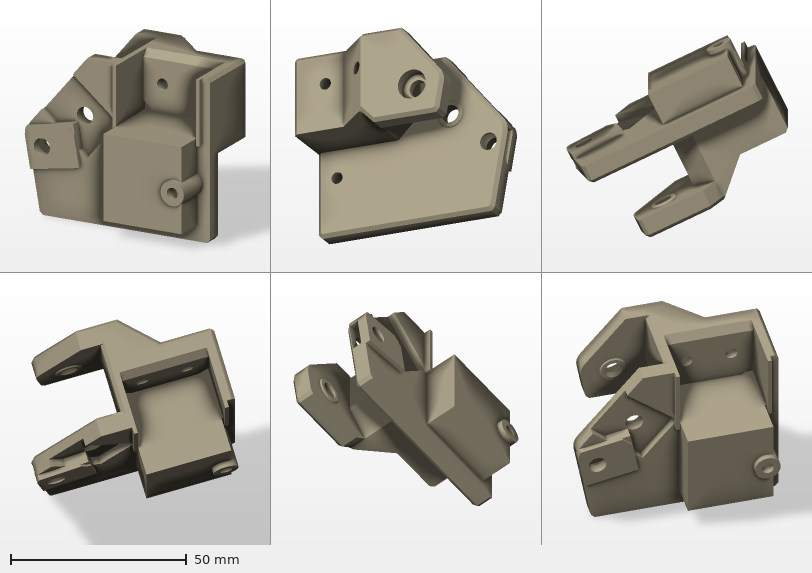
import cadquery as cq
import math


WIDTH = 59.15
HEIGHT = 49.25
BACK_Y = 32.05
FRONT_PLATE = 5.75
BACK_PLATE = 6.05
BEVEL = 1.05
SLOPE_ANGLE = 50.0
LEAN_ANGLE = 10.0

FRONT_NOSE_RADIUS = 5.6
FRONT_NOSE_X = FRONT_NOSE_RADIUS
FRONT_NOSE_Z = 24.2
BACK_NOSE_RADIUS = 5.2
BACK_NOSE_X = 13.0
BACK_NOSE_Z = 31.6

BLOCK_LEFT = 26.9
BLOCK_BACK_Y = 22.05
BLOCK_BOTTOM = 25.8
BLOCK_SLOPE_X = 43.5
RAMP_TOP = 32.65
RAMP_END_X = BLOCK_LEFT + RAMP_TOP - BLOCK_BOTTOM
BACK_PLATE_BOTTOM = 21.8

POCKET_LEFT = 29.7
POCKET_RIGHT = 55.6
POCKET_FLOOR = 31.15
POCKET_DEPTH = 14.5
POCKET_BEVEL = 2.1
POCKET_CORNER = 3.2
POCKET_CORNER_DEPTH = 0.9
LIP_WIDTH = 1.1
LIP_LENGTH = 1.95
LIP_BOTTOM = 29.3
MOUNT_HOLE = 3.5
MOUNT_HOLE_Z = 39.8
MOUNT_HOLE_SPACING = 13.3

BOX_LEFT = 29.9
BOX_RIGHT = 55.1
BOX_BOTTOM = 5.0
BOX_LENGTH = 9.75
BOSS_DIAMETER = 7.5
BOSS_LENGTH = 11.5
BOSS_X = 53.05
BOSS_Z = 17.4

HINGE_HOLE = 5.2
COUNTERBORE = 8.75
COUNTERBORE_DEPTH = 4.15
HINGE_X = 17.4
HINGE_Z = 31.1
RING_BASE = 8.2
RING_TIP = 7.5
RING_HEIGHT = 0.4

SEAT_TILT = SLOPE_ANGLE - 90
SEAT_HALF_WIDTH = 7.9
SEAT_INNER = 9.05
SEAT_OUTER = 14.8
SEAT_DEPTH = 2.3

TAB_HOLE_X = 5.55
TAB_HOLE_Z = 20.95
TAB_HALF_WIDTH = 6.45
TAB_INNER = 11.05
TAB_OUTER = 8.9
TAB_THICKNESS = 1.6
TAB_STEP = 0.6
TAB_STEP_OFFSET = 4.75
SLOT_HALF_WIDTH = 4.75
SLOT_INNER = 10.5
SLOT_MOUTH = 0.6
SLOT_FRONT_Y = 1.4
SLOT_THICKNESS = 3.1

OVERCUT = 2.95


def prism(profile, y_front, y_back):
    """Extrude a closed XZ profile between two Y positions."""
    return profile.extrude(y_front - y_back).translate((0, y_front, 0))


def profile_start():
    return cq.Workplane("XZ")


def box_between(x0, x1, y0, y1, z0, z1):
    return cq.Workplane("XY").box(x1 - x0, y1 - y0, z1 - z0, centered=False).translate((x0, y0, z0))


def rod(x, z, diameter, y_front, y_back):
    return prism(profile_start().center(x, z).circle(diameter / 2), y_front, y_back)


def tilted_prism(points, tilt, x, z, y_front, y_back):
    """Prism from points given along and across a direction tilted about (x, z)."""
    solid = prism(profile_start().polyline(points).close(), y_front, y_back)
    return solid.rotate((0, 0, 0), (0, -1, 0), tilt).translate((x, 0, z))


def tilted_rectangle(u0, u1, v0, v1, tilt, x, z, y_front, y_back):
    points = [(u0, v0), (u1, v0), (u1, v1), (u0, v1)]
    return tilted_prism(points, tilt, x, z, y_front, y_back)


def plate_profile(nose_x, nose_z, radius, bottom, lower_right):
    """Plate outline with a rounded left tip; lower_right lists its points from bottom to right edge."""
    slope = math.radians(SLOPE_ANGLE)
    lean = math.radians(LEAN_ANGLE)

    def on_nose(angle):
        return nose_x - radius * math.cos(angle), nose_z + radius * math.sin(angle)

    nose_top = on_nose(math.pi / 2 - slope)
    nose_bottom = on_nose(-lean)
    top_left = nose_top[0] + (HEIGHT - nose_top[1]) / math.tan(slope)

    def left_edge_x(z):
        return nose_bottom[0] + (nose_bottom[1] - z) * math.tan(lean)

    corner_x = left_edge_x(bottom + BEVEL)
    return (
        profile_start()
        .moveTo(*nose_bottom)
        .threePointArc(on_nose(0), nose_top)
        .lineTo(top_left, HEIGHT)
        .lineTo(WIDTH - BEVEL, HEIGHT)
        .lineTo(WIDTH, HEIGHT - BEVEL)
        .polyline(lower_right[::-1], includeCurrent=True)
        .lineTo(corner_x + BEVEL, bottom)
        .lineTo(corner_x, bottom + BEVEL)
        .close()
    )


def front_profile():
    lower_right = [(WIDTH - BEVEL, 0), (WIDTH, BEVEL)]
    return plate_profile(FRONT_NOSE_X, FRONT_NOSE_Z, FRONT_NOSE_RADIUS, 0, lower_right)


def front_plate():
    return prism(front_profile(), 0, FRONT_PLATE).faces(">Y").chamfer(BEVEL)


def back_plate_and_block():
    foot_end = RAMP_END_X - (BLOCK_BOTTOM - BACK_PLATE_BOTTOM)
    lower_right = [(foot_end, BACK_PLATE_BOTTOM), (RAMP_END_X, BLOCK_BOTTOM), (WIDTH, BLOCK_BOTTOM)]
    profile = plate_profile(BACK_NOSE_X, BACK_NOSE_Z, BACK_NOSE_RADIUS, BACK_PLATE_BOTTOM, lower_right)
    solid = prism(profile, 0, BACK_Y).faces(">Y").chamfer(BEVEL)

    slant = BACK_Y - BLOCK_BACK_Y
    plan = (
        cq.Workplane("XY")
        .polyline([
            (0, -OVERCUT),
            (0, BACK_Y),
            (BLOCK_SLOPE_X - slant, BACK_Y),
            (BLOCK_SLOPE_X, BLOCK_BACK_Y),
            (WIDTH, BLOCK_BACK_Y),
            (WIDTH, -OVERCUT),
        ])
        .close()
        .extrude(HEIGHT)
    )
    solid = solid.intersect(plan.faces(">Z").chamfer(BEVEL))

    corner = (
        cq.Workplane("XY")
        .polyline([(WIDTH - BEVEL, BLOCK_BACK_Y), (WIDTH, BLOCK_BACK_Y - BEVEL), (WIDTH, BLOCK_BACK_Y)])
        .close()
        .extrude(HEIGHT)
    )
    solid = solid.cut(corner)

    gap = profile_start().polyline([
        (-OVERCUT, HEIGHT + OVERCUT),
        (BLOCK_LEFT + BEVEL + OVERCUT, HEIGHT + OVERCUT),
        (BLOCK_LEFT, HEIGHT - BEVEL),
        (BLOCK_LEFT, RAMP_TOP),
        (RAMP_END_X + OVERCUT, BLOCK_BOTTOM - OVERCUT),
        (RAMP_END_X + OVERCUT, 0),
        (-OVERCUT, 0),
    ]).close()
    return solid.cut(prism(gap, -OVERCUT, BACK_Y - BACK_PLATE))


def hinge_rings(body):
    cone = cq.Workplane("XZ").circle(RING_BASE / 2).workplane(offset=RING_HEIGHT).circle(RING_TIP / 2).loft()
    back_ring = cone.translate((HINGE_X, BACK_Y - BACK_PLATE, HINGE_Z))
    front_ring = cone.mirror("XZ").translate((HINGE_X, FRONT_PLATE, HINGE_Z))
    return body.union(back_ring).union(front_ring)


def box_and_boss(body):
    body = body.union(box_between(BOX_LEFT, BOX_RIGHT, -BOX_LENGTH, 0, BOX_BOTTOM, POCKET_FLOOR))
    return body.union(rod(BOSS_X, BOSS_Z, BOSS_DIAMETER, -BOSS_LENGTH, 0))


def pocket_and_lips(body):
    for lip_left in (POCKET_LEFT - LIP_WIDTH, POCKET_RIGHT):
        lip_right = lip_left + LIP_WIDTH
        body = body.union(box_between(lip_left, lip_right, -LIP_LENGTH, SEAT_DEPTH, LIP_BOTTOM, HEIGHT))

    side = (
        cq.Workplane("YZ")
        .polyline([
            (0, POCKET_FLOOR),
            (POCKET_DEPTH, POCKET_FLOOR),
            (POCKET_DEPTH, HEIGHT - POCKET_BEVEL),
            (POCKET_DEPTH + POCKET_BEVEL, HEIGHT),
            (0, HEIGHT),
        ])
        .close()
        .extrude(POCKET_RIGHT - POCKET_LEFT)
        .translate((POCKET_LEFT, 0, 0))
    )
    body = body.cut(side)

    for corner_x, inward in ((POCKET_LEFT, 1), (POCKET_RIGHT, -1)):
        corner = profile_start().polyline([
            (corner_x, POCKET_FLOOR),
            (corner_x + inward * POCKET_CORNER, POCKET_FLOOR),
            (corner_x, POCKET_FLOOR + POCKET_CORNER),
        ]).close()
        body = body.cut(prism(corner, POCKET_DEPTH, POCKET_DEPTH + POCKET_CORNER_DEPTH))
    return body


def hinge_seat(body):
    seat = tilted_rectangle(
        -SEAT_OUTER, SEAT_INNER, -SEAT_HALF_WIDTH, SEAT_HALF_WIDTH,
        SEAT_TILT, HINGE_X, HINGE_Z, 0, SEAT_DEPTH,
    )
    return body.cut(seat)


def tab(body):
    blank = tilted_rectangle(
        -TAB_OUTER, TAB_INNER, -TAB_HALF_WIDTH, TAB_HALF_WIDTH,
        LEAN_ANGLE, TAB_HOLE_X, TAB_HOLE_Z, -TAB_THICKNESS, SEAT_DEPTH,
    )
    blank = blank.intersect(prism(front_profile(), -TAB_THICKNESS, SEAT_DEPTH))
    step = tilted_rectangle(
        -SEAT_INNER, SEAT_INNER, -TAB_STEP_OFFSET, SEAT_HALF_WIDTH,
        SEAT_TILT, HINGE_X, HINGE_Z, -TAB_THICKNESS, TAB_STEP - TAB_THICKNESS,
    )
    return body.union(blank.cut(step))


def tab_slot(body):
    """Slot from the left edge, square to it, with a flared mouth."""
    lean = math.radians(LEAN_ANGLE)
    nose_offset = (FRONT_NOSE_X - TAB_HOLE_X) * math.cos(lean) + (FRONT_NOSE_Z - TAB_HOLE_Z) * math.sin(lean)
    edge = nose_offset - FRONT_NOSE_RADIUS
    outside = edge - OVERCUT
    half_mouth = SLOT_HALF_WIDTH + SLOT_MOUTH
    upper = [
        (outside, half_mouth),
        (edge, half_mouth),
        (edge + SLOT_MOUTH, SLOT_HALF_WIDTH),
        (SLOT_INNER, SLOT_HALF_WIDTH),
    ]
    lower = [(u, -v) for u, v in reversed(upper)]
    slot = tilted_prism(
        upper + lower, LEAN_ANGLE, TAB_HOLE_X, TAB_HOLE_Z, SLOT_FRONT_Y, SLOT_FRONT_Y + SLOT_THICKNESS
    )
    return body.cut(slot)


def through_holes(body):
    box_middle = (BOX_LEFT + BOX_RIGHT) / 2
    holes = [
        (HINGE_X, HINGE_Z, HINGE_HOLE),
        (TAB_HOLE_X, TAB_HOLE_Z, HINGE_HOLE),
        (BOSS_X, BOSS_Z, MOUNT_HOLE),
        (box_middle - MOUNT_HOLE_SPACING / 2, MOUNT_HOLE_Z, MOUNT_HOLE),
        (box_middle + MOUNT_HOLE_SPACING / 2, MOUNT_HOLE_Z, MOUNT_HOLE),
    ]
    for x, z, diameter in holes:
        body = body.cut(rod(x, z, diameter, -BOSS_LENGTH, BACK_Y))
    return body


def hinge_counterbore(body):
    return body.cut(rod(HINGE_X, HINGE_Z, COUNTERBORE, BACK_Y - COUNTERBORE_DEPTH, BACK_Y))


features = [
    hinge_seat,
    tab,
    tab_slot,
    box_and_boss,
    pocket_and_lips,
    hinge_rings,
    through_holes,
    hinge_counterbore,
]

result = front_plate().union(back_plate_and_block())
for add_feature in features:
    result = add_feature(result)